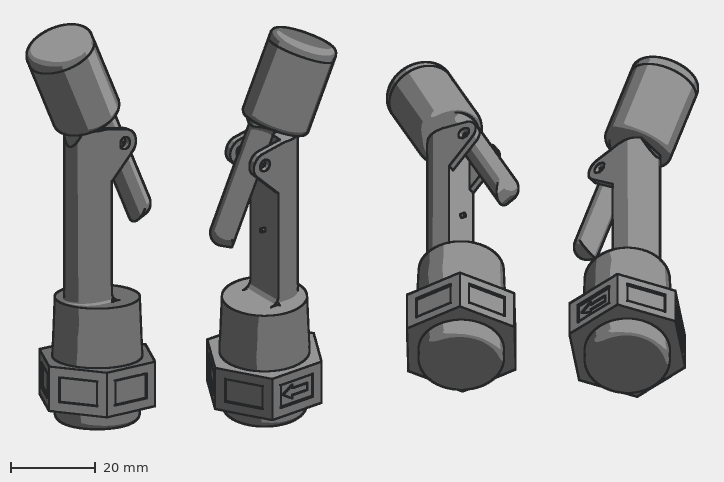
import cadquery as cq
import math

PLUG_RADIUS = 10.1
PLUG_EDGE_FILLET = 1.7
HEX_ACROSS_FLATS = 25.4
HEX_BOTTOM = 4.7
HEX_TOP = 15.7
PLUG_TOP = 30.15
TAPER_BASE_RADIUS = 10.7

PANEL_WIDTH = 9.6
PANEL_HEIGHT = 6.1
PANEL_DEPTH = 0.5
ARROW_RELIEF = 0.2
ARROW_LENGTH = 7.2
ARROW_HEAD_LENGTH = 2.8
ARROW_HEAD_WIDTH = 3.7
ARROW_SHAFT_WIDTH = 1.9
ARROW_TIP_Y = 3.9

STEM_RADIUS = 5.5
STEM_ARC_CENTER_Y = -3.0
STEM_TOP = 72.8
STEM_BACK_Y = STEM_ARC_CENTER_Y - STEM_RADIUS
BACK_CHAMFER_DEPTH = 1.4
BACK_CHAMFER_HEIGHT = 4.2
STEM_ROOT_FILLET = 0.5
STEM_FRONT_FILLET = 2.3

STOP_RADIUS = 0.5
STOP_LENGTH = 1.0
STOP_Z = 47.9

PIVOT_Y = 4.0
PIVOT_Z = 68.4
EAR_RADIUS = 3.3
EAR_GAP = 7.4
EAR_TOP_SLOPE = 10.0
EAR_UNDERSIDE_SLOPE = 45.0
PIVOT_HOLE_RADIUS = 1.5

LEVER_TILT = 25.0
ARM_RADIUS = 3.1
ARM_TIP = -22.5
ARM_CLEARANCE = 0.2
NUB_TIP_RADIUS = 0.3
NUB_END_X = 5.1
FLOAT_RADIUS = 8.2
FLOAT_OFFSET_Y = -3.4
FLOAT_BOTTOM = 8.7
FLOAT_SEAM = 27.9
FLOAT_TOP = 30.8
FLOAT_BOTTOM_FILLET = 1.5
FLOAT_TOP_FILLET = 1.6
ARM_ROOT_FILLET = 2.0


def in_place(lever_part):
    """Tilt a part from the lever frame and move it onto the pivot."""
    return lever_part.rotate((0, 0, 0), (1, 0, 0), LEVER_TILT).translate((0, PIVOT_Y, PIVOT_Z))


def make_plug():
    """Round lower end, hexagon and tapered upper end, all on the Z axis."""
    lower_end = (
        cq.Workplane("XY")
        .circle(PLUG_RADIUS)
        .extrude(HEX_TOP)
        .faces("<Z")
        .edges()
        .fillet(PLUG_EDGE_FILLET)
    )
    hexagon = (
        cq.Workplane("XY", origin=(0, 0, HEX_BOTTOM))
        .polygon(6, HEX_ACROSS_FLATS / math.cos(math.radians(30)))
        .extrude(HEX_TOP - HEX_BOTTOM)
        .rotate((0, 0, 0), (0, 0, 1), 30)
    )
    tapered_end = (
        cq.Workplane("XY", origin=(0, 0, HEX_TOP))
        .circle(TAPER_BASE_RADIUS)
        .workplane(offset=PLUG_TOP - HEX_TOP)
        .circle(PLUG_RADIUS)
        .loft()
    )
    return lower_end.union(hexagon).union(tapered_end)


def make_panel_cutter():
    """Block that sinks one marking panel into the -X face of the hexagon."""
    return cq.Workplane("XY").box(2 * PANEL_DEPTH, PANEL_WIDTH, PANEL_HEIGHT).translate(
        (-HEX_ACROSS_FLATS / 2, 0, (HEX_BOTTOM + HEX_TOP) / 2)
    )


def make_arrow():
    """Raised arrow on the floor of the -X panel, pointing to +Y."""
    head_back_y = ARROW_TIP_Y - ARROW_HEAD_LENGTH
    tail_y = ARROW_TIP_Y - ARROW_LENGTH
    half_head = ARROW_HEAD_WIDTH / 2
    half_shaft = ARROW_SHAFT_WIDTH / 2
    floor_x = -HEX_ACROSS_FLATS / 2 + PANEL_DEPTH
    return (
        cq.Workplane("YZ", origin=(floor_x, 0, (HEX_BOTTOM + HEX_TOP) / 2))
        .moveTo(ARROW_TIP_Y, 0)
        .lineTo(head_back_y, half_head)
        .lineTo(head_back_y, half_shaft)
        .lineTo(tail_y, half_shaft)
        .lineTo(tail_y, -half_shaft)
        .lineTo(head_back_y, -half_shaft)
        .lineTo(head_back_y, -half_head)
        .close()
        .extrude(-ARROW_RELIEF)
    )


def make_stem_section():
    """Prism of the U-shaped stem section, reaching forward to the ear tips."""
    front_y = PIVOT_Y + EAR_RADIUS
    return (
        cq.Workplane("XY")
        .moveTo(-STEM_RADIUS, front_y)
        .lineTo(-STEM_RADIUS, STEM_ARC_CENTER_Y)
        .threePointArc((0, STEM_BACK_Y), (STEM_RADIUS, STEM_ARC_CENTER_Y))
        .lineTo(STEM_RADIUS, front_y)
        .close()
        .extrude(STEM_TOP)
    )


def make_stem():
    """Stem and ears: the side outline, kept inside the U-shaped section."""
    top_angle = math.radians(EAR_TOP_SLOPE)
    under_angle = math.radians(EAR_UNDERSIDE_SLOPE)

    def ear_rim(angle):
        return (
            PIVOT_Y + EAR_RADIUS * math.cos(angle),
            PIVOT_Z + EAR_RADIUS * math.sin(angle),
        )

    upper_tangent = ear_rim(math.pi / 2 - top_angle)
    lower_tangent = ear_rim(-under_angle)
    slope_end_y = upper_tangent[0] - (STEM_TOP - upper_tangent[1]) / math.tan(top_angle)
    ear_root_z = lower_tangent[1] - lower_tangent[0] * math.tan(under_angle)

    side_outline = (
        cq.Workplane("YZ", origin=(-STEM_RADIUS, 0, 0))
        .moveTo(0, PLUG_TOP)
        .lineTo(0, ear_root_z)
        .lineTo(*lower_tangent)
        .threePointArc(ear_rim(0), upper_tangent)
        .lineTo(slope_end_y, STEM_TOP)
        .lineTo(STEM_BACK_Y + BACK_CHAMFER_DEPTH, STEM_TOP)
        .lineTo(STEM_BACK_Y, STEM_TOP - BACK_CHAMFER_HEIGHT)
        .lineTo(STEM_BACK_Y, PLUG_TOP)
        .close()
        .extrude(2 * STEM_RADIUS)
    )
    return side_outline.intersect(make_stem_section())


def make_ear_slot():
    """Gap between the ears, sloped at the back to clear the tilted arm."""
    reach = PIVOT_Y + EAR_RADIUS
    upright_part = cq.Workplane("XY", origin=(0, 0, PIVOT_Z - 2 * reach)).box(
        EAR_GAP, reach, 3 * reach, centered=(True, False, False)
    )
    sloped_part = in_place(
        cq.Workplane("XY", origin=(0, -ARM_RADIUS - ARM_CLEARANCE, 0)).box(
            EAR_GAP, 2 * ARM_RADIUS, reach, centered=(True, False, False)
        )
    )
    return upright_part.union(sloped_part)


def make_front_flare():
    """Concave flare from the flat face of the stem down to the plug top."""
    return (
        cq.Workplane("YZ", origin=(-STEM_RADIUS, 0, PLUG_TOP))
        .moveTo(0, 0)
        .lineTo(STEM_FRONT_FILLET, 0)
        .radiusArc((0, STEM_FRONT_FILLET), STEM_FRONT_FILLET)
        .close()
        .extrude(2 * STEM_RADIUS)
    )


def make_housing():
    plug = make_plug()
    for face in range(6):
        plug = plug.cut(make_panel_cutter().rotate((0, 0, 0), (0, 0, 1), 60 * face))

    housing = plug.union(make_stem())
    margin = 0.1
    root_edges = cq.selectors.BoxSelector(
        (-STEM_RADIUS - margin, STEM_BACK_Y - margin, PLUG_TOP - margin),
        (STEM_RADIUS + margin, -margin, PLUG_TOP + margin),
    )
    housing = housing.edges(root_edges).fillet(STEM_ROOT_FILLET)

    pivot_hole = (
        cq.Workplane("YZ", origin=(-STEM_RADIUS, PIVOT_Y, PIVOT_Z))
        .circle(PIVOT_HOLE_RADIUS)
        .extrude(2 * STEM_RADIUS)
    )
    stop = (
        cq.Workplane("XZ", origin=(0, 0, STOP_Z))
        .circle(STOP_RADIUS)
        .extrude(-STOP_LENGTH)
    )
    return (
        housing.union(make_front_flare())
        .union(make_arrow())
        .union(stop)
        .cut(make_ear_slot())
        .cut(pivot_hole)
    )


def make_arm():
    """Round arm whose lower end is a half-round, domed towards the front."""
    end_center_z = ARM_TIP + ARM_RADIUS
    shank = (
        cq.Workplane("XY", origin=(0, 0, end_center_z))
        .circle(ARM_RADIUS)
        .extrude(FLOAT_BOTTOM - end_center_z)
    )
    dome = cq.Workplane("XY").sphere(ARM_RADIUS).translate((0, 0, end_center_z))
    half_round = (
        cq.Workplane("XZ", origin=(0, 0, end_center_z))
        .circle(ARM_RADIUS)
        .extrude(ARM_RADIUS)
        .intersect(
            cq.Workplane("XY", origin=(0, 0, ARM_TIP)).circle(ARM_RADIUS).extrude(ARM_RADIUS)
        )
    )
    return shank.union(dome).union(half_round)


def make_nubs():
    """Pivot nubs on both sides of the arm, with cones that taper inside the ear holes."""
    return (
        cq.Workplane("XY")
        .moveTo(-NUB_END_X, 0)
        .lineTo(-NUB_END_X, NUB_TIP_RADIUS)
        .lineTo(-EAR_GAP / 2, PIVOT_HOLE_RADIUS)
        .lineTo(EAR_GAP / 2, PIVOT_HOLE_RADIUS)
        .lineTo(NUB_END_X, NUB_TIP_RADIUS)
        .lineTo(NUB_END_X, 0)
        .close()
        .revolve(360, (0, 0, 0), (1, 0, 0))
    )


def make_arm_root():
    """Concave flare from the arm to the flat bottom of the float."""
    flare = (
        cq.Workplane("XZ")
        .moveTo(0, FLOAT_BOTTOM - ARM_ROOT_FILLET)
        .lineTo(ARM_RADIUS, FLOAT_BOTTOM - ARM_ROOT_FILLET)
        .radiusArc((ARM_RADIUS + ARM_ROOT_FILLET, FLOAT_BOTTOM), ARM_ROOT_FILLET)
        .lineTo(0, FLOAT_BOTTOM)
        .close()
        .revolve(360, (0, 0, 0), (0, 1, 0))
    )
    flat_bottom = (
        cq.Workplane("XY", origin=(0, FLOAT_OFFSET_Y, 0))
        .circle(FLOAT_RADIUS - FLOAT_BOTTOM_FILLET)
        .extrude(FLOAT_BOTTOM)
    )
    return flare.intersect(flat_bottom)


def make_float_lever():
    """Arm, pivot nubs and float body in one piece."""
    float_body = (
        cq.Workplane("XY", origin=(0, FLOAT_OFFSET_Y, FLOAT_BOTTOM))
        .circle(FLOAT_RADIUS)
        .extrude(FLOAT_SEAM - FLOAT_BOTTOM)
        .faces("<Z")
        .edges()
        .fillet(FLOAT_BOTTOM_FILLET)
    )
    return in_place(float_body.union(make_arm()).union(make_arm_root()).union(make_nubs()))


def make_float_cap():
    """Disc that closes the float above its seam."""
    cap = (
        cq.Workplane("XY", origin=(0, FLOAT_OFFSET_Y, FLOAT_SEAM))
        .circle(FLOAT_RADIUS)
        .extrude(FLOAT_TOP - FLOAT_SEAM)
        .faces(">Z")
        .edges()
        .fillet(FLOAT_TOP_FILLET)
    )
    return in_place(cap)


housing = make_housing()
float_lever = make_float_lever()
float_cap = make_float_cap()

result = cq.Compound.makeCompound([
    housing.solids().val(),
    float_lever.solids().val(),
    float_cap.solids().val(),
])